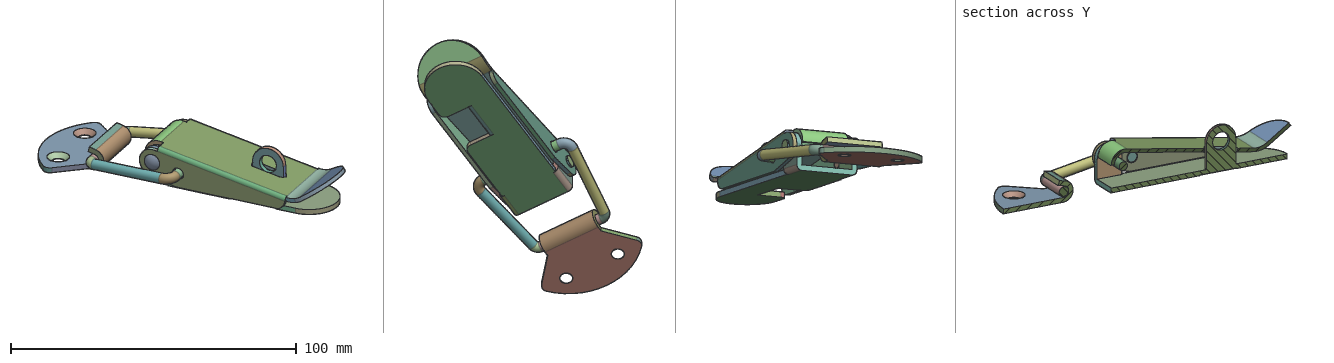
import cadquery as cq
import math


TOTAL_LENGTH = 115.0
BASE_SHEET = 2.0
LEVER_SHEET = 1.5
FOLD_SHARE = 0.98
ROUGH = 230.0

CATCH_ARC_RADIUS = 26.2
CATCH_CORNER_RADIUS = 2.5
SHOULDER_X = 22.0
HOOK_HALF_WIDTH = 21.7 / 2
FLANK_ANGLE = 40.4
SCREW_X = 10.0
SCREW_SPACING = 21.0
SCREW_DIAMETER = 4.5
SINK_DIAMETER = 7.9
SINK_ANGLE = 90.0
HOOK_X = 23.9
HOOK_INNER_RADIUS = 2.1
HOOK_Z = BASE_SHEET + HOOK_INNER_RADIUS
HOOK_LIP_ANGLE = 14.0
HOOK_LIP_LENGTH = 2.6

WIRE_DIAMETER = 3.8
WIRE_RADIUS = WIRE_DIAMETER / 2
WIRE_X = HOOK_X + HOOK_INNER_RADIUS - WIRE_RADIUS
WIRE_Z = HOOK_Z
BAIL_END_X = 58.1
BAIL_END_Z = 6.9
FRONT_BEND_RADIUS = 2.2
REAR_BEND_RADIUS = 3.2
FRONT_BEND_Y = 12.3
REAR_BEND_Y = 15.5
BAIL_HOLE_DIAMETER = 4.3

PIVOT_X = 48.0
PIVOT_Z = 9.2
CHEEK_RADIUS = 5.0
PIN_DIAMETER = 3.5
DOME_DIAMETER = 6.0
DOME_HEIGHT = 1.3
HEAD_DIAMETER = 4.3
HEAD_HEIGHT = 0.7

LEVER_HALF_WIDTH = 26.8 / 2
LEVER_INNER_HALF = LEVER_HALF_WIDTH - LEVER_SHEET
LEVER_SLOPE = 10.0
LEVER_END_X = 100.0
NOTCH_X = 50.1
WALL_BOTTOM_Z = 1.6
WALL_RISE_ANGLE = 15.0
WALL_CORNER_RADIUS = 3.5
CURL_RADIUS = 5.3
CURL_Y_MIN = -8.9
CURL_Y_MAX = 9.5
TAB_HALF_WIDTH = 13.0
TAB_ANGLE = 33.3
TAB_BEND_RADIUS = 7.6
SLOT_X = 87.1
SLOT_LENGTH = 13.5
SLOT_WIDTH = 3.8

BASE_HALF_WIDTH = 21.7 / 2
BASE_END_X = 113.5
LOOP_X = SLOT_X
LOOP_RADIUS = 6.0
LOOP_HOLE_DIAMETER = 6.5
LOOP_TOP_Z = 17.5
RELIEF_X_MIN = 78.5
RELIEF_X_MAX = 93.4
RELIEF_CORNER_RADIUS = 2.4


def polar(center, radius, degrees):
    """Point on a circle, the angle counted from the first axis."""
    angle = math.radians(degrees)
    return (center[0] + radius * math.cos(angle), center[1] + radius * math.sin(angle))


def side_plane(y):
    """XZ plane at the given Y; extrusions run towards +Y."""
    return cq.Workplane("XZ", origin=(0, y, 0))


def side_extrude(outline, y_min, y_max):
    """Extrude a closed XZ outline between two Y positions."""
    return outline(side_plane(y_min)).extrude(y_min - y_max)


def cross_cylinder(x, z, diameter, y_min, y_max):
    return side_plane(y_min).center(x, z).circle(diameter / 2).extrude(y_min - y_max)


def flank_tip():
    """Sharp corner where the front arc meets a straight flank."""
    flank = math.radians(FLANK_ANGLE)
    run_x = SHOULDER_X - CATCH_ARC_RADIUS
    along = run_x * math.cos(flank) - HOOK_HALF_WIDTH * math.sin(flank)
    square = run_x**2 + HOOK_HALF_WIDTH**2 - CATCH_ARC_RADIUS**2
    length = along + math.sqrt(along**2 - square)
    return (SHOULDER_X - length * math.cos(flank), HOOK_HALF_WIDTH + length * math.sin(flank))


def catch_blank():
    tip_x, tip_y = flank_tip()
    return (
        cq.Workplane("XY")
        .moveTo(HOOK_X, -HOOK_HALF_WIDTH)
        .lineTo(HOOK_X, HOOK_HALF_WIDTH)
        .lineTo(SHOULDER_X, HOOK_HALF_WIDTH)
        .lineTo(tip_x, tip_y)
        .threePointArc((0, 0), (tip_x, -tip_y))
        .lineTo(SHOULDER_X, -HOOK_HALF_WIDTH)
        .close()
        .extrude(BASE_SHEET)
        .edges("|Z and (>Y or <Y)")
        .fillet(CATCH_CORNER_RADIUS)
    )


def hook_outline(plane):
    center = (HOOK_X, HOOK_Z)
    inner = HOOK_INNER_RADIUS
    outer = HOOK_INNER_RADIUS + BASE_SHEET
    lip_start = 90 - HOOK_LIP_ANGLE
    lip_heading = 180 - HOOK_LIP_ANGLE
    outer_start = polar(center, outer, lip_start)
    inner_start = polar(center, inner, lip_start)
    return (
        plane.moveTo(*polar(center, outer, -90))
        .threePointArc(polar(center, outer, 0), outer_start)
        .lineTo(*polar(outer_start, HOOK_LIP_LENGTH, lip_heading))
        .lineTo(*polar(inner_start, HOOK_LIP_LENGTH, lip_heading))
        .lineTo(*inner_start)
        .threePointArc(polar(center, inner, 0), polar(center, inner, -90))
        .close()
    )


def make_catch():
    hook = side_extrude(hook_outline, -HOOK_HALF_WIDTH, HOOK_HALF_WIDTH)
    return (
        catch_blank()
        .faces(">Z")
        .workplane(origin=(SCREW_X, 0, 0))
        .pushPoints([(0, SCREW_SPACING / 2), (0, -SCREW_SPACING / 2)])
        .cskHole(SCREW_DIAMETER, SINK_DIAMETER, SINK_ANGLE)
        .union(hook)
    )


def make_bail():
    rise = BAIL_END_Z - WIRE_Z
    run = BAIL_END_X - WIRE_X
    length = math.hypot(run, rise)
    plane = cq.Plane(origin=(WIRE_X, 0, WIRE_Z), xDir=(run, 0, rise), normal=(-rise, 0, run))

    front = (FRONT_BEND_RADIUS, FRONT_BEND_Y)
    rear = (length - REAR_BEND_RADIUS, REAR_BEND_Y)
    span = math.dist(front, rear)
    arm_angle = math.degrees(
        math.atan2(rear[1] - front[1], rear[0] - front[0])
        + math.asin((REAR_BEND_RADIUS - FRONT_BEND_RADIUS) / span)
    )
    normal = 90 + arm_angle
    front_points = [polar(front, FRONT_BEND_RADIUS, a) for a in (180, (180 + normal) / 2, normal)]
    rear_points = [polar(rear, REAR_BEND_RADIUS, a) for a in (normal, normal / 2, 0)]

    def mirrored(point):
        return (point[0], -point[1])

    path = (
        cq.Workplane(plane)
        .moveTo(length, -LEVER_INNER_HALF)
        .lineTo(*mirrored(rear_points[2]))
        .threePointArc(mirrored(rear_points[1]), mirrored(rear_points[0]))
        .lineTo(*mirrored(front_points[2]))
        .threePointArc(mirrored(front_points[1]), mirrored(front_points[0]))
        .lineTo(*front_points[0])
        .threePointArc(front_points[1], front_points[2])
        .lineTo(*rear_points[0])
        .threePointArc(rear_points[1], rear_points[2])
        .lineTo(length, LEVER_INNER_HALF)
    )
    section = side_plane(-LEVER_INNER_HALF).center(BAIL_END_X, BAIL_END_Z).circle(WIRE_RADIUS)
    return section.sweep(path)


SLOPE_COS = math.cos(math.radians(LEVER_SLOPE))
SLOPE_SIN = math.sin(math.radians(LEVER_SLOPE))
TOP_HEIGHT = CHEEK_RADIUS + LEVER_SHEET


def lever_point(along, above):
    """XZ point from distances along the lever slope and square to it, from the pivot."""
    return (
        PIVOT_X + along * SLOPE_COS + above * SLOPE_SIN,
        PIVOT_Z - along * SLOPE_SIN + above * SLOPE_COS,
    )


def along_at(x, above):
    """Distance along the slope at which a line at the given height reaches x."""
    return (x - PIVOT_X - above * SLOPE_SIN) / SLOPE_COS


NOTCH_ALONG = along_at(NOTCH_X, TOP_HEIGHT)
END_ALONG = along_at(LEVER_END_X, TOP_HEIGHT)


def wall_outline(plane):
    pivot = (PIVOT_X, PIVOT_Z)
    rise_start = polar(pivot, CHEEK_RADIUS, -90 - WALL_RISE_ANGLE)
    knee_x = rise_start[0] + (rise_start[1] - WALL_BOTTOM_Z) / math.tan(math.radians(WALL_RISE_ANGLE))
    end_top = lever_point(END_ALONG, CHEEK_RADIUS)
    corner_x = end_top[0] - (end_top[1] - WALL_BOTTOM_Z) * math.tan(math.radians(LEVER_SLOPE))
    return (
        plane.moveTo(*rise_start)
        .threePointArc(polar(pivot, CHEEK_RADIUS, 180), lever_point(0, CHEEK_RADIUS))
        .lineTo(*end_top)
        .lineTo(corner_x, WALL_BOTTOM_Z)
        .lineTo(knee_x, WALL_BOTTOM_Z)
        .close()
    )


def lever_wall(y_min):
    """One side wall with its holes for the rivet and the bail."""
    y_max = y_min + LEVER_SHEET
    lower_end_corner = cq.selectors.BoxSelector(
        (LEVER_END_X - WALL_CORNER_RADIUS, y_min - 1.2, WALL_BOTTOM_Z - 0.1),
        (LEVER_END_X, y_max + 1.2, WALL_BOTTOM_Z + 0.1),
    )
    return (
        side_extrude(wall_outline, y_min, y_max)
        .edges("|Y")
        .edges(lower_end_corner)
        .fillet(WALL_CORNER_RADIUS)
        .cut(cross_cylinder(PIVOT_X, PIVOT_Z, PIN_DIAMETER, y_min, y_max))
        .cut(cross_cylinder(BAIL_END_X, BAIL_END_Z, BAIL_HOLE_DIAMETER, y_min, y_max))
    )


def lever_top():
    """Top plate, its long edges rounded where it folds down into the walls."""
    center = lever_point((NOTCH_ALONG + END_ALONG) / 2, CHEEK_RADIUS)
    plane = cq.Plane(
        origin=(center[0], 0, center[1]),
        xDir=(SLOPE_COS, 0, -SLOPE_SIN),
        normal=(SLOPE_SIN, 0, SLOPE_COS),
    )
    plate = cq.Workplane(plane).rect(END_ALONG - NOTCH_ALONG, 2 * LEVER_HALF_WIDTH).extrude(LEVER_SHEET)
    rounded = plate.faces(cq.selectors.DirectionMinMaxSelector(plane.zDir, True)).edges(">Y or <Y")
    plate = rounded.fillet(LEVER_SHEET * FOLD_SHARE)
    slot_along = along_at(SLOT_X, TOP_HEIGHT) - (NOTCH_ALONG + END_ALONG) / 2
    slot = cq.Workplane(plane).center(slot_along, 0).slot2D(SLOT_LENGTH, SLOT_WIDTH).extrude(LEVER_SHEET)
    return plate.cut(slot)


def curl_outline(plane):
    above = TOP_HEIGHT - CURL_RADIUS
    left_x = PIVOT_X - CHEEK_RADIUS
    center = lever_point(along_at(left_x + CURL_RADIUS, above), above)
    inner = CURL_RADIUS - LEVER_SHEET
    top = 90 - LEVER_SLOPE
    middle = (180 + top) / 2
    return (
        plane.moveTo(*lever_point(NOTCH_ALONG, TOP_HEIGHT))
        .lineTo(*polar(center, CURL_RADIUS, top))
        .threePointArc(polar(center, CURL_RADIUS, middle), polar(center, CURL_RADIUS, 180))
        .lineTo(*polar(center, inner, 180))
        .threePointArc(polar(center, inner, middle), polar(center, inner, top))
        .lineTo(*lever_point(NOTCH_ALONG, CHEEK_RADIUS))
        .close()
    )


def finger_tab():
    """Upturned tab with a half-round end."""
    center = lever_point(END_ALONG, TOP_HEIGHT + TAB_BEND_RADIUS)
    outer = TAB_BEND_RADIUS + LEVER_SHEET
    start = -90 - LEVER_SLOPE
    end = -90 + TAB_ANGLE
    middle = (start + end) / 2
    under_end = polar(center, outer, end)
    upper_end = polar(center, TAB_BEND_RADIUS, end)
    straight = (TOTAL_LENGTH - under_end[0]) / math.cos(math.radians(TAB_ANGLE))

    def tab_outline(plane):
        return (
            plane.moveTo(*polar(center, outer, start))
            .threePointArc(polar(center, outer, middle), under_end)
            .lineTo(*polar(under_end, straight, TAB_ANGLE))
            .lineTo(*polar(upper_end, straight, TAB_ANGLE))
            .lineTo(*upper_end)
            .threePointArc(polar(center, TAB_BEND_RADIUS, middle), polar(center, TAB_BEND_RADIUS, start))
            .close()
        )

    round_center = polar(under_end, straight - TAB_HALF_WIDTH, TAB_ANGLE)
    heading = polar((0, 0), 1, TAB_ANGLE)
    plane = cq.Plane(
        origin=(round_center[0], 0, round_center[1]),
        xDir=(heading[0], 0, heading[1]),
        normal=(-heading[1], 0, heading[0]),
    )
    round_end = cq.Workplane(plane).circle(TAB_HALF_WIDTH).extrude(ROUGH / 2, both=True)
    sides = (
        cq.Workplane(plane)
        .center(-ROUGH / 2, 0)
        .rect(ROUGH, 2 * TAB_HALF_WIDTH)
        .extrude(ROUGH / 2, both=True)
    )
    return side_extrude(tab_outline, -TAB_HALF_WIDTH, TAB_HALF_WIDTH).intersect(sides.union(round_end))


def make_lever():
    return (
        lever_top()
        .union(lever_wall(-LEVER_HALF_WIDTH))
        .union(lever_wall(LEVER_INNER_HALF))
        .union(side_extrude(curl_outline, CURL_Y_MIN, CURL_Y_MAX))
        .union(finger_tab())
    )


UPRIGHT_X_MIN = PIVOT_X - CHEEK_RADIUS
UPRIGHT_X_MAX = PIVOT_X + CHEEK_RADIUS
BEND_RADIUS = BASE_SHEET * FOLD_SHARE


def upright_channel():
    """Two round-topped uprights folded up from the base floor, with rivet holes."""
    half = LEVER_INNER_HALF

    def outline(plane):
        return (
            plane.moveTo(UPRIGHT_X_MIN, 0)
            .lineTo(UPRIGHT_X_MIN, PIVOT_Z)
            .threePointArc((PIVOT_X, PIVOT_Z + CHEEK_RADIUS), (UPRIGHT_X_MAX, PIVOT_Z))
            .lineTo(UPRIGHT_X_MAX, 0)
            .close()
        )

    inside = cq.Workplane("XY", origin=(PIVOT_X, 0, BASE_SHEET)).rect(ROUGH, 2 * (half - BASE_SHEET))
    return (
        side_extrude(outline, -half, half)
        .edges("|X and <Z")
        .fillet(BEND_RADIUS)
        .cut(inside.extrude(ROUGH))
        .cut(cross_cylinder(PIVOT_X, PIVOT_Z, PIN_DIAMETER, -half, half))
    )


def base_floor():
    """Floor with a half-round end and an edge relief up to the padlock loop."""
    round_x = BASE_END_X - BASE_HALF_WIDTH
    loop_face_y = -BASE_SHEET / 2
    floor = (
        cq.Workplane("XY")
        .moveTo(PIVOT_X, -BASE_HALF_WIDTH + BASE_SHEET)
        .lineTo(UPRIGHT_X_MAX, -BASE_HALF_WIDTH + BASE_SHEET)
        .lineTo(UPRIGHT_X_MAX, -BASE_HALF_WIDTH)
        .lineTo(RELIEF_X_MIN, -BASE_HALF_WIDTH)
        .lineTo(RELIEF_X_MIN, loop_face_y)
        .lineTo(RELIEF_X_MAX, loop_face_y)
        .lineTo(RELIEF_X_MAX, -BASE_HALF_WIDTH)
        .lineTo(round_x, -BASE_HALF_WIDTH)
        .threePointArc((BASE_END_X, 0), (round_x, BASE_HALF_WIDTH))
        .lineTo(UPRIGHT_X_MAX, BASE_HALF_WIDTH)
        .lineTo(UPRIGHT_X_MAX, BASE_HALF_WIDTH - BASE_SHEET)
        .lineTo(PIVOT_X, BASE_HALF_WIDTH - BASE_SHEET)
        .close()
        .extrude(BASE_SHEET)
    )
    relief_mouth = cq.selectors.BoxSelector(
        (RELIEF_X_MIN - 0.1, -BASE_HALF_WIDTH - 0.1, 0),
        (RELIEF_X_MAX + 0.1, -BASE_HALF_WIDTH + 0.1, BASE_SHEET),
    )
    fold = cq.selectors.BoxSelector(
        (RELIEF_X_MIN, loop_face_y - 0.1, -0.1),
        (RELIEF_X_MAX, loop_face_y + 0.1, 0.1),
    )
    floor = floor.edges("|Z").edges(relief_mouth).fillet(RELIEF_CORNER_RADIUS)
    return floor.edges(fold).fillet(BEND_RADIUS)


def padlock_loop():
    """Round-topped loop folded up along the middle of the base."""
    center_z = LOOP_TOP_Z - LOOP_RADIUS

    def outline(plane):
        return (
            plane.moveTo(LOOP_X - LOOP_RADIUS, BASE_SHEET)
            .lineTo(LOOP_X - LOOP_RADIUS, center_z)
            .threePointArc((LOOP_X, LOOP_TOP_Z), (LOOP_X + LOOP_RADIUS, center_z))
            .lineTo(LOOP_X + LOOP_RADIUS, BASE_SHEET)
            .close()
        )

    half = BASE_SHEET / 2
    eye = cross_cylinder(LOOP_X, center_z, LOOP_HOLE_DIAMETER, -half, half)
    return side_extrude(outline, -half, half).cut(eye)


def make_base():
    return base_floor().union(upright_channel()).union(padlock_loop())


def make_rivet():
    """Pin with a domed head on the -Y side and a flat head on the +Y side."""
    face = LEVER_HALF_WIDTH
    pin = cross_cylinder(PIVOT_X, PIVOT_Z, PIN_DIAMETER, -face, face)
    head = cross_cylinder(PIVOT_X, PIVOT_Z, HEAD_DIAMETER, face, face + HEAD_HEIGHT)
    sphere_radius = ((DOME_DIAMETER / 2) ** 2 + DOME_HEIGHT**2) / (2 * DOME_HEIGHT)
    sphere_y = -face - DOME_HEIGHT + sphere_radius
    sphere = cq.Workplane("XY", origin=(PIVOT_X, sphere_y, PIVOT_Z)).sphere(sphere_radius)
    dome_stock = cross_cylinder(PIVOT_X, PIVOT_Z, DOME_DIAMETER, -face - DOME_HEIGHT, -face)
    return pin.union(head).union(dome_stock.intersect(sphere))


catch = make_catch()
bail = make_bail()
lever = make_lever()
base = make_base()
rivet = make_rivet()

bodies = [catch, bail, lever, base, rivet]
result = cq.Compound.makeCompound([body.solids().val() for body in bodies])